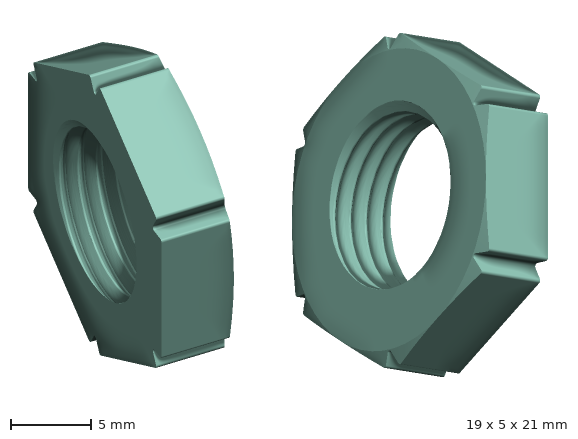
import cadquery as cq
import math

across_flats = 19.0
thickness = 5.0
flat_half_length = 4.68
notch_fillet = 0.19
chamfer_angle = 15

thread_pitch = 1.27
bore_radius = 5.63
thread_root_radius = 6.23
root_flat = 0.13
flank_half_angle = 40

apothem = across_flats / 2
corner_radius = apothem / math.cos(math.radians(30))
notch_root_radius = flat_half_length / math.sin(math.radians(30))


def polar(radius, angle):
    """Point in the XZ plane at an angle in degrees from +X."""
    return (radius * math.cos(math.radians(angle)), radius * math.sin(math.radians(angle)))


def hexagon_with_notches():
    lip_radius = math.hypot(apothem, flat_half_length)
    lip_angle = math.degrees(math.atan2(flat_half_length, apothem))
    outline = []
    for side in range(6):
        flat_angle = 60 * side
        outline.append(polar(lip_radius, flat_angle - lip_angle))
        outline.append(polar(lip_radius, flat_angle + lip_angle))
        outline.append(polar(notch_root_radius, flat_angle + 30))
    body = cq.Workplane("XZ").polyline(outline).close().extrude(-thickness)
    return body.edges("|Y").fillet(notch_fillet)


def chamfer_envelope():
    """Turned blank whose cone trims only the back corners of the hexagon."""
    outer_radius = corner_radius + 0.2
    cone_drop = (outer_radius - apothem) * math.tan(math.radians(chamfer_angle))
    profile = [
        (0, 0),
        (outer_radius, 0),
        (outer_radius, thickness - cone_drop),
        (apothem, thickness),
        (0, thickness),
    ]
    return cq.Workplane("XY").polyline(profile).close().revolve(360, (0, 0), (0, 1))


def threaded_bore():
    """Core of the right-handed thread, deepest at +Z on the front face.

    A slice across the axis has a root arc and a crest arc joined by two spirals,
    and turning that slice once per pitch along the axis forms the thread.
    """
    degrees_per_length = 360 / thread_pitch
    flank_width = (thread_root_radius - bore_radius) * math.tan(math.radians(flank_half_angle))
    root_end = root_flat / 2 * degrees_per_length
    flank_sweep = flank_width * degrees_per_length
    crest_start = root_end + flank_sweep
    root_direction = -90

    def flank_point(share, side):
        radius = thread_root_radius + share * (bore_radius - thread_root_radius)
        return polar(radius, root_direction + side * (root_end + share * flank_sweep))

    slice_outline = (
        cq.Workplane("XY")
        .moveTo(*flank_point(0, -1))
        .threePointArc(polar(thread_root_radius, root_direction), flank_point(0, 1))
        .parametricCurve(lambda share: flank_point(share, 1), makeWire=False)
        .moveTo(*polar(bore_radius, root_direction + crest_start))
        .threePointArc(polar(bore_radius, root_direction + 180), flank_point(1, -1))
        .parametricCurve(lambda share: flank_point(1 - share, -1), makeWire=False)
        .wire()
    )
    core = slice_outline.twistExtrude(thickness, thickness * degrees_per_length)
    return core.rotate((0, 0, 0), (1, 0, 0), -90)


blank = hexagon_with_notches().intersect(chamfer_envelope())
result = blank.cut(threaded_bore())